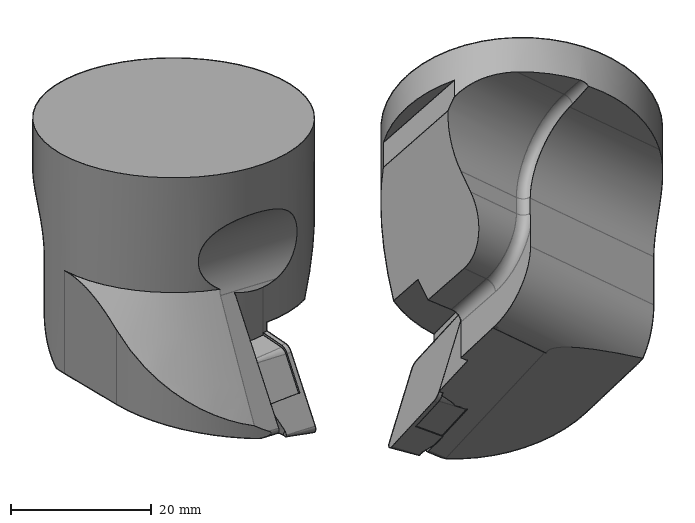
import cadquery as cq
import math

head_radius = 20.0
far = 80.0
margin = 1.0

tip_x = 31.87
tip_z = -38.0
rake_tilt = math.radians(3.7)
relief_angle = 7.0
end_slope_deg = 2.5
end_slope = math.radians(end_slope_deg)

flare_start_z = -18.0
flare_angle = math.radians(32.0)
nose_flat_length = 11.7
nose_radius = 19.5

gullet_radius = 10.3
gullet_u = -3.45
gullet_z = -13.3
end_z_at_tip = -37.15
nose_corner_radius = 0.65
relief_start = (3.1, -6.7, -35.9)

web_wall_x = -5.5
web_back_y = 2.5
web_neck_z = -17.97
web_corner_z = -26.9
web_corner_radius = 9.0
neck_radius = 10.5
neck_slope = math.radians(5.5)

arm_wall_x = -4.3
arm_neck_z = -17.8
arm_neck_radius = 11.4
arm_corner_z = -20.8
arm_corner_radius = 7.2
arm_back_y = 18.1
arm_step_z = -5.9
arm_fillet = 1.6
root_tolerance = 0.1
arm_bevel_z = -10.5
arm_bevel_angle = math.radians(30.0)

insert_thickness = 5.5
insert_edge = 13.5
insert_angle = math.radians(55.0)
insert_end_slope = math.radians(3.0)
insert_nose_radius = 0.8
insert_blunt_radius = 1.8
rim_thickness = 0.7
rim_step = 0.35
tip_block_length = 6.0
tip_bevel_height = 0.8
tip_bevel_start = 2.2
tip_bevel_end = 4.5

chip_wall_u = -20.8
chip_roof_z = -25.0

rake_plane = cq.Plane(
    origin=(tip_x, 0, 0),
    xDir=(math.cos(rake_tilt), -math.sin(rake_tilt), 0),
    normal=(-math.sin(rake_tilt), -math.cos(rake_tilt), 0),
)


def rake_workplane(depth=0.0):
    """Workplane parallel to the cutting face, at a depth below it."""
    return cq.Workplane(rake_plane).workplane(offset=depth)


def polar(center, radius, angle):
    """Point on a circle, with the angle in radians."""
    return (center[0] + radius * math.cos(angle), center[1] + radius * math.sin(angle))


def make_flare():
    """Footprint of the nose under a cone that widens downward, cut off at the seat."""
    arc_center = (nose_flat_length, -head_radius + nose_radius)
    footprint = (
        cq.Workplane("XY")
        .moveTo(0, 0)
        .lineTo(0, -head_radius)
        .lineTo(nose_flat_length, -head_radius)
        .threePointArc(
            polar(arc_center, nose_radius, -math.pi / 4),
            polar(arc_center, nose_radius, 0),
        )
        .close()
        .extrude(-far)
    )
    cone_end_z = tip_z - margin
    cone_end_radius = head_radius + (flare_start_z - cone_end_z) * math.tan(flare_angle)
    cone = (
        cq.Workplane("XZ")
        .polyline([
            (0, flare_start_z),
            (head_radius, flare_start_z),
            (cone_end_radius, cone_end_z),
            (0, cone_end_z),
        ])
        .close()
        .revolve(360, (0, 0, 0), (0, 1, 0))
    )
    above_seat = rake_workplane(insert_thickness).rect(2 * far, 2 * far).extrude(-far)
    return footprint.intersect(cone).cut(above_seat)


def make_nose_envelope():
    """Everything on the body side of the gullet, the flank, the tip corner and the end face."""
    gullet = (gullet_u, gullet_z)
    flank_start = polar(gullet, gullet_radius, math.pi + flare_angle)
    flank_run = math.tan(flare_angle)
    flank_u_at_zero = flank_start[0] + flank_start[1] * flank_run
    end_drop = math.tan(end_slope)
    corner_u = (flank_u_at_zero - end_z_at_tip * flank_run) / (1 - end_drop * flank_run)
    corner = (corner_u, end_z_at_tip - corner_u * end_drop)
    flank_direction = math.pi / 2 + flare_angle
    end_direction = math.pi - end_slope
    bisector = (flank_direction + end_direction) / 2
    half_angle = (end_direction - flank_direction) / 2
    round_center = polar(corner, nose_corner_radius / math.sin(half_angle), bisector)
    tangent_length = nose_corner_radius / math.tan(half_angle)
    return (
        rake_workplane()
        .moveTo(-far, margin)
        .lineTo(gullet_u, margin)
        .lineTo(gullet_u, gullet_z + gullet_radius)
        .threePointArc((gullet_u - gullet_radius, gullet_z), flank_start)
        .lineTo(*polar(corner, tangent_length, flank_direction))
        .threePointArc(
            polar(round_center, nose_corner_radius, bisector + math.pi),
            polar(corner, tangent_length, end_direction),
        )
        .lineTo(-far, end_z_at_tip + far * end_drop)
        .close()
        .extrude(far, both=True)
    )


def make_web_envelope():
    """Silhouette of the web: sloped underside, round neck, straight wall and round lower corner."""
    neck = (web_wall_x - neck_radius, web_neck_z)
    slope_end = polar(neck, neck_radius, math.pi / 2 - neck_slope)
    slope_start_x = -head_radius - margin
    slope_start_z = slope_end[1] + (slope_end[0] - slope_start_x) * math.tan(neck_slope)
    corner = (web_wall_x + web_corner_radius, web_corner_z)
    return (
        cq.Workplane("XZ")
        .moveTo(slope_start_x, margin)
        .lineTo(slope_start_x, slope_start_z)
        .lineTo(*slope_end)
        .threePointArc(polar(neck, neck_radius, math.pi / 4), (web_wall_x, web_neck_z))
        .lineTo(web_wall_x, web_corner_z)
        .threePointArc(
            polar(corner, web_corner_radius, 1.25 * math.pi),
            polar(corner, web_corner_radius, 1.5 * math.pi),
        )
        .lineTo(corner[0], -far)
        .lineTo(far, -far)
        .lineTo(far, margin)
        .close()
        .extrude(far, both=True)
    )


def make_arm_envelope():
    """Arm behind the web, set back from its wall, with a flat back and a bevelled underside."""
    neck = (arm_wall_x - arm_neck_radius, arm_neck_z)
    neck_top_z = arm_neck_z + arm_neck_radius
    corner = (arm_wall_x + arm_corner_radius, arm_corner_z)
    arm_end_z = arm_corner_z - arm_corner_radius
    back_plane = cq.Workplane("XZ", origin=(0, web_back_y, 0))
    side = (
        back_plane
        .moveTo(-far, margin)
        .lineTo(-far, neck_top_z)
        .lineTo(neck[0], neck_top_z)
        .threePointArc(polar(neck, arm_neck_radius, math.pi / 4), (arm_wall_x, arm_neck_z))
        .lineTo(arm_wall_x, arm_corner_z)
        .threePointArc(polar(corner, arm_corner_radius, 1.25 * math.pi), (corner[0], arm_end_z))
        .lineTo(far, arm_end_z)
        .lineTo(far, margin)
        .close()
        .extrude(-far)
    )
    web_slab = back_plane.rect(3 * far, 3 * far).extrude(far)
    rooted = side.union(web_slab)
    root_edges = cq.selectors.BoxSelector(
        (-1.2 * far, web_back_y - root_tolerance, arm_end_z - root_tolerance),
        (1.2 * far, web_back_y + root_tolerance, neck_top_z + root_tolerance),
    )
    rooted = rooted.edges(root_edges).fillet(arm_fillet)
    bevel_depth = far + arm_bevel_z
    bevel_run = bevel_depth * math.tan(arm_bevel_angle)
    behind = (
        cq.Workplane("YZ")
        .polyline([
            (far, arm_step_z),
            (arm_back_y, arm_step_z),
            (arm_back_y, arm_bevel_z),
            (arm_back_y - bevel_run, -far),
            (far, -far),
        ])
        .close()
        .extrude(far, both=True)
    )
    return rooted.cut(behind)


def make_end_relief():
    """Block whose top face is the relief of the end face, rising away from the cutting face."""
    return (
        cq.Workplane("XY")
        .box(2 * far, 2 * far, far, centered=(True, True, False))
        .translate((0, 0, -far))
        .rotate((0, 0, 0), (1, 0, 0), -relief_angle)
        .rotate((0, 0, 0), (0, 1, 0), end_slope_deg)
        .rotate((0, 0, 0), (0, 0, 1), -math.degrees(rake_tilt))
        .translate(relief_start)
    )


def make_chip_space():
    """Open space in front of the cutting face."""
    return (
        rake_workplane()
        .polyline([(chip_wall_u, chip_roof_z), (far, chip_roof_z), (far, -far), (chip_wall_u, -far)])
        .close()
        .extrude(-far)
    )


def make_holder(insert):
    """Round head with web, arm and flared nose, recessed to take the insert."""
    blank = cq.Workplane("XY").circle(head_radius).extrude(-far).union(make_flare())
    envelope = make_web_envelope().intersect(make_arm_envelope())
    return (
        blank.intersect(envelope)
        .intersect(make_nose_envelope())
        .cut(make_end_relief())
        .cut(make_chip_space())
        .cut(insert)
    )


flank_direction = math.pi - insert_end_slope - insert_angle
end_direction = math.pi - insert_end_slope
tip_bisector = (flank_direction + end_direction) / 2
nose_center = (-insert_nose_radius, tip_z + insert_nose_radius)
sharp_tip = polar(nose_center, insert_nose_radius / math.sin(insert_angle / 2), tip_bisector + math.pi)


def make_rhombic_prism(inset):
    """Rhombus with rounded corners, its sides moved inward by the inset and leaning in with depth."""
    corner = polar(sharp_tip, inset / math.sin(insert_angle / 2), tip_bisector)
    side = insert_edge - 2 * inset / math.sin(insert_angle)
    flank_corner = polar(corner, side, flank_direction)
    far_corner = polar(flank_corner, side, end_direction)
    end_corner = polar(corner, side, end_direction)
    outline = cq.Sketch().polygon([corner, flank_corner, far_corner, end_corner, corner])
    rounded_corners = [
        (corner, insert_nose_radius),
        (far_corner, insert_nose_radius),
        (flank_corner, insert_blunt_radius),
        (end_corner, insert_blunt_radius),
    ]
    for (x, z), radius in rounded_corners:
        nearest = cq.selectors.NearestToPointSelector((x, z, 0))
        outline = outline.vertices(nearest).fillet(radius - inset).reset()
    return rake_workplane().placeSketch(outline).extrude(insert_thickness, taper=relief_angle)


def along_tip(points):
    """Slab through the insert; points give the distance from the tip and the depth."""
    origin = rake_plane.toWorldCoords((*sharp_tip, 0))
    inward = rake_plane.toWorldCoords((*polar(sharp_tip, 1, tip_bisector), 0)) - origin
    section = cq.Plane(origin=origin, xDir=inward, normal=inward.cross(rake_plane.zDir))
    return cq.Workplane(section).polyline(points).close().extrude(far, both=True)


def make_insert():
    """Rhombic insert whose sides are stepped in below the rim, except at the tip."""
    full = make_rhombic_prism(0)
    rim = rake_workplane().rect(2 * far, 2 * far).extrude(rim_thickness)
    tip_block = along_tip([
        (-far, 0),
        (tip_block_length, 0),
        (tip_block_length, insert_thickness),
        (-far, insert_thickness),
    ])
    bevel = along_tip([
        (-far, insert_thickness - tip_bevel_height),
        (tip_bevel_start, insert_thickness - tip_bevel_height),
        (tip_bevel_end, insert_thickness),
        (-far, insert_thickness),
    ])
    full_sides = full.intersect(rim.union(tip_block))
    return make_rhombic_prism(rim_step).union(full_sides).cut(bevel)


insert = make_insert()
holder = make_holder(insert)

result = cq.Compound.makeCompound([holder.val(), insert.val()])